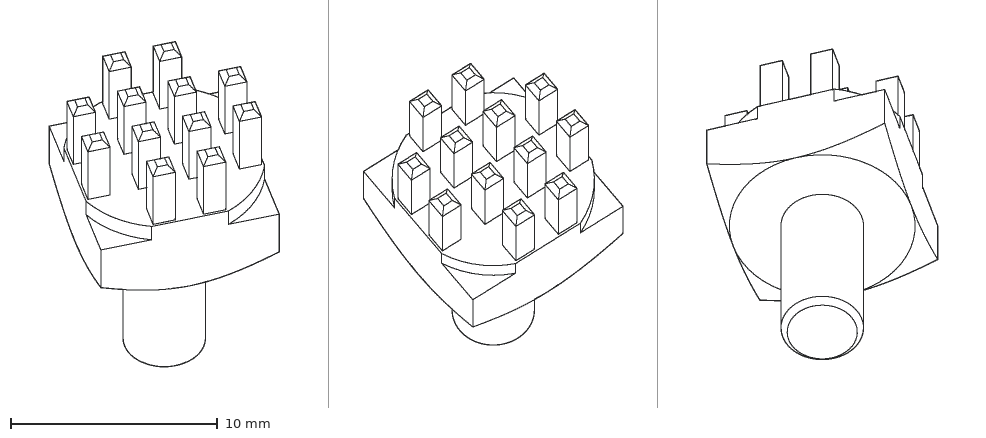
import cadquery as cq
import math

block_side = 9.0
block_height = 4.51
corner_step_depth = 0.9
boss_radius = 4.9
underside_angle = 30

shank_diameter = 4
shank_chamfer = 0.3

pin_side = 1.12
pin_height = 3.5
pin_pitch = 2.55
pin_chamfer = 0.3
pins_per_row = 4

overall_height = 16
shank_length = overall_height - block_height - pin_height


def make_block():
    """Square block with four lowered corners and a conically relieved underside."""
    block = cq.Workplane("XY").rect(block_side, block_side).extrude(block_height)

    inner_radius = block_side / 2
    outer_radius = block_side
    cone_rise = (outer_radius - inner_radius) * math.tan(math.radians(underside_angle))
    envelope = (
        cq.Workplane("XZ")
        .polyline([
            (0, 0),
            (inner_radius, 0),
            (outer_radius, cone_rise),
            (outer_radius, block_height),
            (0, block_height),
        ])
        .close()
        .revolve(360, (0, 0, 0), (0, 1, 0))
    )

    step_plane = cq.Workplane("XY").workplane(offset=block_height - corner_step_depth)
    plate = step_plane.rect(block_side, block_side).extrude(corner_step_depth)
    boss = step_plane.circle(boss_radius).extrude(corner_step_depth)
    return block.intersect(envelope).cut(plate.cut(boss))


def make_shank():
    """Round shank below the block, chamfered at its free end."""
    shank = cq.Workplane("XY").circle(shank_diameter / 2).extrude(-shank_length)
    return shank.faces("<Z").chamfer(shank_chamfer)


def pin_centers():
    """Square grid of pins without its four corner places."""
    last = pins_per_row - 1
    centers = []
    for column in range(pins_per_row):
        for row in range(pins_per_row):
            if column in (0, last) and row in (0, last):
                continue
            centers.append(((column - last / 2) * pin_pitch, (row - last / 2) * pin_pitch))
    return centers


def make_pins():
    """Square pins on top of the block, chamfered at their tips."""
    pins = (
        cq.Workplane("XY")
        .workplane(offset=block_height)
        .pushPoints(pin_centers())
        .rect(pin_side, pin_side)
        .extrude(pin_height)
    )
    return pins.faces(">Z").chamfer(pin_chamfer)


result = make_block().union(make_shank()).union(make_pins())